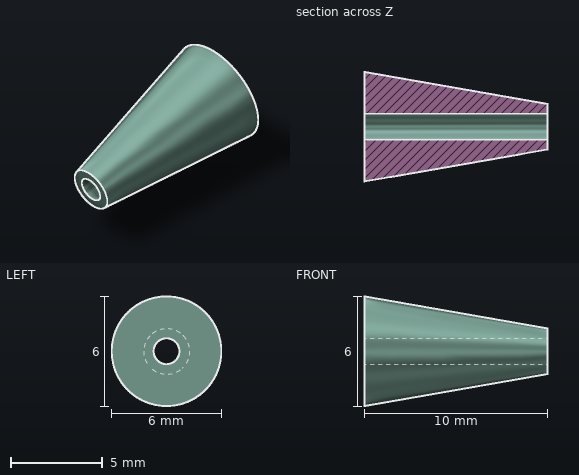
import cadquery as cq

length = 10.0
base_diameter = 6.0
tip_diameter = 2.5
bore_diameter = 1.4

body = (
    cq.Workplane("XY")
    .polyline([(0, 0), (0, base_diameter / 2), (length, tip_diameter / 2), (length, 0)])
    .close()
    .revolve(360, (0, 0, 0), (1, 0, 0))
)

bore = cq.Workplane("YZ").circle(bore_diameter / 2).extrude(length)

result = body.cut(bore)